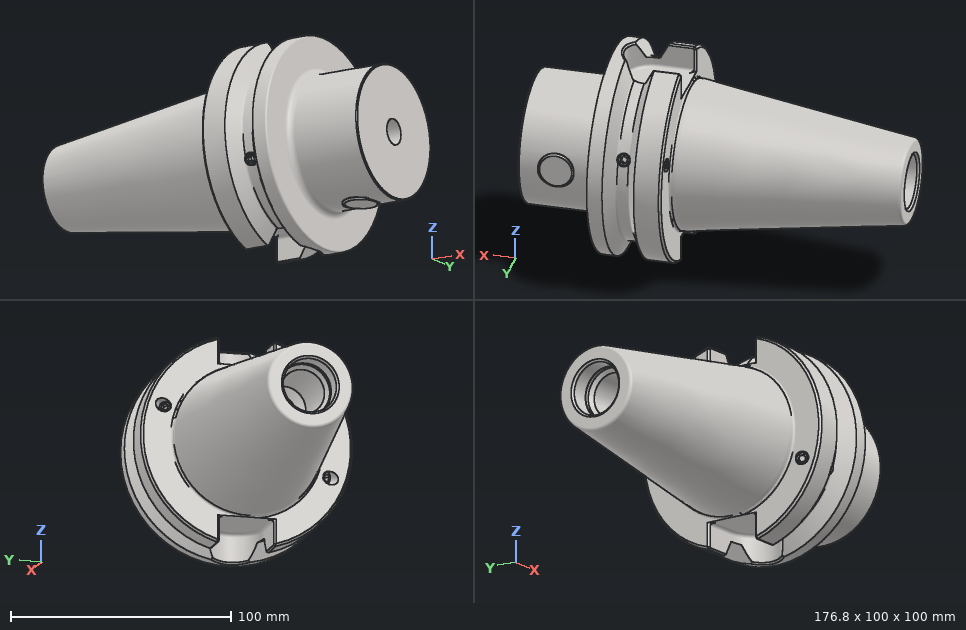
import cadquery as cq
import math

total_length = 176.8
gauge_x = 101.8
flange_start_x = 104.8
groove_start_x = 117.5
groove_end_x = 132.5
flange_end_x = 139.8

gauge_radius = 35.0
taper_ratio = 7 / 24
small_end_radius = gauge_radius - gauge_x * taper_ratio / 2
flange_radius = 50.0
groove_floor_radius = 42.5
nose_radius = 31.5

groove_flank_run = (flange_radius - groove_floor_radius) * math.tan(math.radians(30))
groove_floor_start_x = groove_start_x + groove_flank_run
groove_floor_end_x = groove_end_x - groove_flank_run

small_end_fillet = 1.6
neck_fillet = 1.0
flange_chamfer = 1.0
rear_rim_fillet = 0.9
nose_fillet = 3.2
nose_chamfer = 0.5
groove_floor_fillet = 0.9
edge_margin = 0.2

through_radius = 6.0
thread_radius = 10.5
thread_end_x = 44.2
counterbore_radius = 12.5
counterbore_depth = 9.5
lead_radius = 12.4
lead_depth = 11.5
counterbore_chamfer = 1.0
drill_tip_half_angle = 59

slot_half_width = 12.9
slot_center_x = 122.2
slot_floor_height = 35.5
slot_floor_fillet = 1.8
slot_edge_chamfer = 0.9

screw_angles = [20, 200]
screw_radius = 3.0
screw_length = 6.0
screw_chamfer = 0.5
socket_across_flats = 3.0
socket_depth = 2.5
face_hole_radius_from_axis = 42.0
face_hole_tilt = 35
face_screw_recess = 2.5
groove_screw_recess = 0.7
hole_overrun = 2.7

nose_plug_x = 159.1
nose_plug_radius = 8.5
nose_plug_chamfer = 0.9
nose_plug_length = 10.6
nose_plug_directions = [(0, 1, 0), (0, 0, -1)]


def revolve_about_axis(outline):
    """Close an outline drawn in the XY plane along X and spin it into a solid."""
    return outline.close().revolve(360, (0, 0, 0), (1, 0, 0))


def make_blank():
    """Taper, grooved flange and nose as one turned solid."""
    neck_end_x = flange_start_x - neck_fillet
    fillet_end_x = flange_end_x + nose_fillet
    outline = (
        cq.Workplane("XY")
        .lineTo(0, small_end_radius)
        .lineTo(gauge_x, gauge_radius)
        .lineTo(neck_end_x, gauge_radius)
        .radiusArc((flange_start_x, gauge_radius + neck_fillet), -neck_fillet)
        .lineTo(flange_start_x, flange_radius - flange_chamfer)
        .lineTo(flange_start_x + flange_chamfer, flange_radius)
        .lineTo(groove_start_x, flange_radius)
        .lineTo(groove_floor_start_x, groove_floor_radius)
        .lineTo(groove_floor_end_x, groove_floor_radius)
        .lineTo(groove_end_x, flange_radius)
        .lineTo(flange_end_x - rear_rim_fillet, flange_radius)
        .radiusArc((flange_end_x, flange_radius - rear_rim_fillet), rear_rim_fillet)
        .lineTo(flange_end_x, nose_radius + nose_fillet)
        .radiusArc((fillet_end_x, nose_radius), -nose_fillet)
        .lineTo(total_length - nose_chamfer, nose_radius)
        .lineTo(total_length, nose_radius - nose_chamfer)
        .lineTo(total_length, 0)
    )
    groove_box = cq.selectors.BoxSelector(
        (groove_start_x + edge_margin, -flange_radius, -flange_radius),
        (groove_end_x - edge_margin, flange_radius, flange_radius),
        boundingbox=True,
    )
    blank = revolve_about_axis(outline).faces("<X").edges().fillet(small_end_fillet)
    return blank.edges(groove_box).edges("%CIRCLE").fillet(groove_floor_fillet)


def make_bore():
    """Counterbore, threaded section with a drill tip, and through hole."""
    cone_length = lead_radius - thread_radius
    tip_length = (thread_radius - through_radius) / math.tan(math.radians(drill_tip_half_angle))
    outline = (
        cq.Workplane("XY")
        .lineTo(0, counterbore_radius + counterbore_chamfer)
        .lineTo(counterbore_chamfer, counterbore_radius)
        .lineTo(counterbore_depth, counterbore_radius)
        .lineTo(counterbore_depth, lead_radius)
        .lineTo(lead_depth, lead_radius)
        .lineTo(lead_depth + cone_length, thread_radius)
        .lineTo(thread_end_x, thread_radius)
        .lineTo(thread_end_x + tip_length, through_radius)
        .lineTo(total_length, through_radius)
        .lineTo(total_length, 0)
    )
    return revolve_about_axis(outline)


def make_slot():
    """Round-ended cutter for the upper drive slot, open towards the taper."""
    slot_start_x = gauge_x
    return (
        cq.Workplane("XY", origin=(0, 0, slot_floor_height))
        .moveTo(slot_start_x, -slot_half_width)
        .lineTo(slot_center_x, -slot_half_width)
        .radiusArc((slot_center_x, slot_half_width), -slot_half_width)
        .lineTo(slot_start_x, slot_half_width)
        .close()
        .extrude(flange_radius - slot_floor_height)
    )


def is_slot_mouth_edge(edge):
    """True for slot wall edges on the flange's front face, its chamfer or its rim."""
    box = edge.BoundingBox()
    in_slot = max(abs(box.ymin), abs(box.ymax)) < slot_half_width + edge_margin
    reaches_above_floor = box.zmax > slot_floor_height + edge_margin
    on_front_land = box.xmax < groove_start_x + edge_margin and box.ymax - box.ymin < edge_margin
    on_rear_rim = box.xmin > groove_end_x - edge_margin
    return in_slot and box.zmin > 0 and reaches_above_floor and (on_front_land or on_rear_rim)


def is_slot_floor_edge(edge):
    """True for the edges between the slot floor and its walls."""
    box = edge.BoundingBox()
    at_floor = max(abs(box.zmin - slot_floor_height), abs(box.zmax - slot_floor_height)) < edge_margin
    in_slot = max(abs(box.ymin), abs(box.ymax)) < slot_half_width + edge_margin
    behind_front_face = edge.Center().x > flange_start_x + slot_edge_chamfer + edge_margin
    return at_floor and in_slot and behind_front_face


def cut_slots(blank):
    """Cut one slot from above, break its edges, then turn the part over and repeat."""
    for _ in range(2):
        blank = blank.cut(make_slot())
        mouth_edges = [edge for edge in blank.edges().vals() if is_slot_mouth_edge(edge)]
        blank = blank.newObject(mouth_edges).chamfer(slot_edge_chamfer)
        floor_edges = [edge for edge in blank.edges().vals() if is_slot_floor_edge(edge)]
        blank = blank.newObject(floor_edges).fillet(slot_floor_fillet)
        blank = blank.rotate((0, 0, 0), (1, 0, 0), 180)
    return blank


def make_nose_cylinder(direction, top_radius):
    """Radial cylinder from the floor of a nose hole out to the given distance from the axis."""
    floor_radius = nose_radius - nose_plug_length
    outward = cq.Vector(*direction)
    start = cq.Vector(nose_plug_x, 0, 0) + outward * floor_radius
    return cq.Workplane(cq.Solid.makeCylinder(nose_plug_radius, top_radius - floor_radius, start, outward))


def make_screw_hole(place):
    """Blind hole that ends under its screw and reaches past its mouth."""
    depth = place["recess"] + screw_length
    start = place["mouth"] - place["direction"] * hole_overrun
    return cq.Solid.makeCylinder(screw_radius, depth + hole_overrun, start, place["direction"])


def make_set_screw(place):
    """Headless screw with a chamfered top and a hexagon socket."""
    outward = -place["direction"]
    top = place["mouth"] + place["direction"] * place["recess"]
    top_plane = cq.Workplane(cq.Plane(origin=top, xDir=(0, 0, 1), normal=outward))
    shank = top_plane.circle(screw_radius).extrude(-screw_length)
    chamfered = shank.faces(cq.selectors.DirectionMinMaxSelector(outward, True)).chamfer(screw_chamfer)
    corner_diameter = socket_across_flats / math.cos(math.radians(30))
    return chamfered.cut(top_plane.polygon(6, corner_diameter).extrude(-socket_depth))


def turn(shape, angle):
    """Rotate a shape about the spindle axis."""
    return shape.rotate((0, 0, 0), (1, 0, 0), angle)


tilt = math.radians(face_hole_tilt)
face_place = {
    "mouth": cq.Vector(flange_start_x, face_hole_radius_from_axis, 0),
    "direction": cq.Vector(math.cos(tilt), -math.sin(tilt), 0),
    "recess": face_screw_recess,
}
groove_place = {
    "mouth": cq.Vector((groove_floor_start_x + groove_floor_end_x) / 2, groove_floor_radius, 0),
    "direction": cq.Vector(0, -1, 0),
    "recess": groove_screw_recess,
}

holder = cut_slots(make_blank()).cut(make_bore())

nose_plugs = []
for plug_direction in nose_plug_directions:
    holder = holder.cut(make_nose_cylinder(plug_direction, flange_radius))
    outer_end = cq.selectors.DirectionMinMaxSelector(cq.Vector(*plug_direction), True)
    plug = make_nose_cylinder(plug_direction, nose_radius).faces(outer_end).chamfer(nose_plug_chamfer)
    nose_plugs.append(plug.val())

face_screws = []
groove_screws = []
for angle in screw_angles:
    for place, screws in ((face_place, face_screws), (groove_place, groove_screws)):
        holder = holder.cut(cq.Workplane(turn(make_screw_hole(place), angle)))
        screws.append(turn(make_set_screw(place), angle).val())

result = cq.Compound.makeCompound([holder.val(), *face_screws, *groove_screws, *nose_plugs])